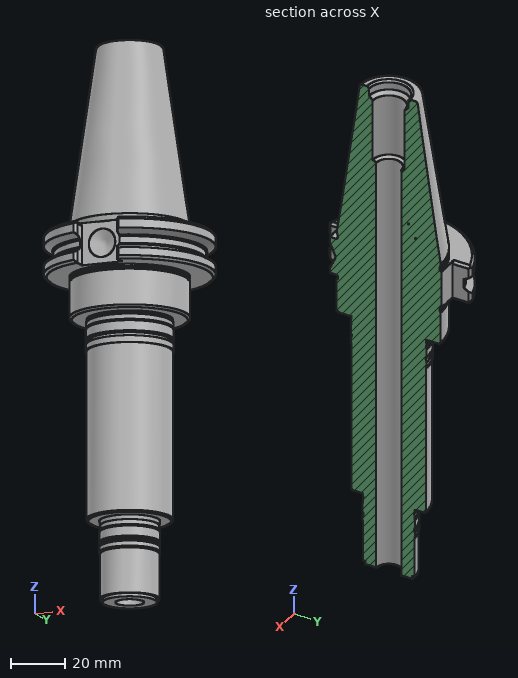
import cadquery as cq
import math

total_length = 210.2

gauge_diameter = 44.5
taper_length = 68.0
taper_ratio = 7 / 24
nose_fillet = 1.5

flange_top = 71.2
flange_height = 16.0
flange_diameter = 63.5
flange_chamfer = 1.0
groove_diameter = 56.5
groove_corner = 0.6
groove_floor_height = 3.8
groove_centre = 79.5
groove_flank_angle = 30
relief_depth = 0.6

collar_top = 89.0
collar_bottom = 103.4
collar_diameter = 44.5
collar_chamfer = 0.8

neck_diameter = 32.0
neck_ring_diameter = 32.4
neck_ring_top = 104.0
neck_ring_width = 1.3
neck_taper_end = 106.5
land_diameter = 32.5
land_top = 107.2
oil_groove_diameter = 31.5
oil_groove_top = 111.0
oil_groove_deepest = 111.5
oil_groove_bottom = 112.9
land_bottom = 115.4
barrel_diameter = 32.0
barrel_bottom = 179.5
barrel_chamfer = 0.6

pin_diameter = 22.0
pin_land_diameter = 22.5
pin_groove_diameter = 21.9
pin_ramp = 0.6
pin_groove_1_top = 180.5
pin_land_1_top = 183.0
pin_land_1_bottom = 187.5
pin_land_2_top = 188.7
pin_land_2_bottom = 191.2
pin_tip_diameter = 20.2
pin_tip_height = 1.3

bore_diameter = 10.5
thread_diameter = 13.5
thread_bottom = 31.5
drill_half_angle = 59
counterbore_diameter = 16.5
counterbore_depth = 4.0
mouth_chamfer = 0.8

slot_width = 16.0
slot_chamfer = 1.0
front_floor = 25.0
back_floor = 22.5

dimple_diameter = 10.7
dimple_depth = 2.3


def revolve(points):
    """Revolve (radius, depth) points about Z, small end at the top."""
    return (
        cq.Workplane("XZ")
        .polyline([(r, total_length - d) for r, d in points])
        .close()
        .revolve(360, (0, 0, 0), (0, 1, 0))
    )


gauge_radius = gauge_diameter / 2
nose_radius = gauge_radius - taper_length * taper_ratio / 2
flange_radius = flange_diameter / 2
flange_bottom = flange_top + flange_height
groove_radius = groove_diameter / 2
groove_half = groove_floor_height / 2
corner_radius = groove_radius + groove_corner / 2
flank = (flange_radius - corner_radius) * math.tan(math.radians(groove_flank_angle))
relief_radius = gauge_radius - relief_depth
collar_radius = collar_diameter / 2
neck_radius = neck_diameter / 2
neck_ring_radius = neck_ring_diameter / 2
neck_ring_start = neck_ring_top + neck_ring_width / 2
land_radius = land_diameter / 2
barrel_radius = barrel_diameter / 2
pin_radius = pin_diameter / 2
pin_land_radius = pin_land_diameter / 2
pin_groove_radius = pin_groove_diameter / 2

taper_points = [
    (0, 0),
    (nose_radius, 0),
    (gauge_radius, taper_length),
    (relief_radius, flange_top - relief_depth),
]
flange_points = [
    (gauge_radius, flange_top),
    (flange_radius - flange_chamfer, flange_top),
    (flange_radius, flange_top + flange_chamfer),
    (flange_radius, groove_centre - groove_half - flank),
    (corner_radius, groove_centre - groove_half),
    (groove_radius, groove_centre - groove_half + groove_corner),
    (groove_radius, groove_centre + groove_half - groove_corner),
    (corner_radius, groove_centre + groove_half),
    (flange_radius, groove_centre + groove_half + flank),
    (flange_radius, flange_bottom - flange_chamfer),
    (flange_radius - flange_chamfer, flange_bottom),
]
collar_points = [
    (collar_radius, flange_bottom),
    (relief_radius, flange_bottom + relief_depth),
    (relief_radius, collar_top - relief_depth),
    (collar_radius, collar_top),
    (collar_radius, collar_bottom - collar_chamfer),
    (collar_radius - collar_chamfer, collar_bottom),
]
shank_points = [
    (neck_radius, collar_bottom),
    (neck_radius, neck_ring_top),
    (neck_ring_radius, neck_ring_start),
    (neck_ring_radius, neck_ring_top + neck_ring_width),
    (neck_radius, neck_taper_end),
    (land_radius, land_top),
    (land_radius, oil_groove_top),
    (oil_groove_diameter / 2, oil_groove_deepest),
    (land_radius, oil_groove_bottom),
    (land_radius, land_bottom),
    (barrel_radius, land_bottom),
    (barrel_radius, barrel_bottom - barrel_chamfer),
    (barrel_radius - barrel_chamfer, barrel_bottom),
]
pin_points = [
    (pin_land_radius, barrel_bottom),
    (pin_radius, pin_groove_1_top),
    (pin_groove_radius, pin_groove_1_top + pin_ramp),
    (pin_radius, pin_groove_1_top + 2 * pin_ramp),
    (pin_radius, pin_land_1_top),
    (pin_land_radius, pin_land_1_top + pin_ramp),
    (pin_land_radius, pin_land_1_bottom),
    (pin_groove_radius, pin_land_1_bottom + pin_ramp),
    (pin_groove_radius, pin_land_2_top),
    (pin_land_radius, pin_land_2_top + pin_ramp),
    (pin_land_radius, pin_land_2_bottom),
    (pin_radius, pin_land_2_bottom + pin_ramp),
    (pin_radius, total_length - pin_tip_height),
    (pin_tip_diameter / 2, total_length - pin_tip_height),
    (pin_tip_diameter / 2, total_length),
    (0, total_length),
]
outline = taper_points + flange_points + collar_points + shank_points + pin_points
body = revolve(outline).faces(">Z").edges().fillet(nose_fillet)

bore_radius = bore_diameter / 2
thread_radius = thread_diameter / 2
counterbore_radius = counterbore_diameter / 2
thread_tip = (thread_radius - bore_radius) / math.tan(math.radians(drill_half_angle))
bore = revolve([
    (0, 0),
    (counterbore_radius + mouth_chamfer, 0),
    (counterbore_radius, mouth_chamfer),
    (counterbore_radius, counterbore_depth),
    (thread_radius, counterbore_depth + counterbore_radius - thread_radius),
    (thread_radius, thread_bottom),
    (bore_radius, thread_bottom + thread_tip),
    (bore_radius, total_length),
    (0, total_length),
])


def drive_slot(side, floor):
    """Slot through the flange on the side -1 (-Y) or +1 (+Y), flared at its top and outer edges."""
    half = slot_width / 2
    z_top = total_length - flange_top
    z_bottom = total_length - flange_bottom
    section = [
        (-half, z_bottom),
        (half, z_bottom),
        (half, z_top - slot_chamfer),
        (half + slot_chamfer, z_top),
        (-half - slot_chamfer, z_top),
        (-half, z_top - slot_chamfer),
    ]
    channel = (
        cq.Workplane("XZ", origin=(0, side * floor, 0))
        .polyline(section)
        .close()
        .extrude(-side * (flange_radius - floor))
    )
    flare_end = half + slot_chamfer
    rim = math.sqrt(flange_radius**2 - flare_end**2)
    reach = flange_radius - rim
    flare = (
        cq.Workplane("XY", origin=(0, 0, z_bottom))
        .polyline([
            (-half, side * (rim - slot_chamfer)),
            (half, side * (rim - slot_chamfer)),
            (flare_end + reach, side * flange_radius),
            (-flare_end - reach, side * flange_radius),
        ])
        .close()
        .extrude(flange_height)
    )
    return channel.union(flare)


dimple_radius = dimple_diameter / 2
dimple = (
    cq.Workplane("XY", origin=(0, -front_floor, total_length - groove_centre))
    .polyline([(0, 0), (dimple_radius, 0), (0, dimple_depth)])
    .close()
    .revolve(360, (0, 0, 0), (0, 1, 0))
)

result = (
    body.cut(bore)
    .cut(drive_slot(-1, front_floor))
    .cut(drive_slot(1, back_floor))
    .cut(dimple)
)